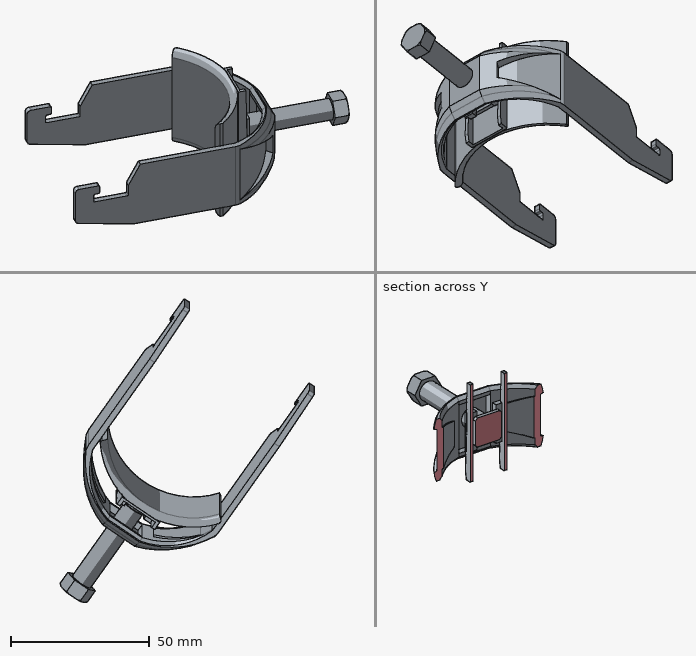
import cadquery as cq
import math


strap_span = 57.0
strap_width = 25.3
sheet = 2.2
leg_top_y = 61.0
arch_start = (28.2, 62.8)
crown_y = 83.1
crown_half = 7.0
crown_depth = 4.8
arch_out_mid = (22.2, 73.0)
arch_in_start = (26.2, 61.6)
arch_in_mid = (19.5, 71.1)
rim_round_z = 2.2
rim_round_y = 1.3
rim_round_mid = (21.8, 72.8)
rim_bevel_z = 2.2
rim_bevel_y = 1.8
rim_bevel_mid = (21.0, 72.2)
edge_bevel_z = 1.3
edge_bevel_y = 1.2
edge_bevel_mid = (20.3, 71.7)
rim_wall = 2.8

dent_top = (11.9, 78.1)
dent_mid = (22.0, 71.2)
dent_inner_top = (10.5, 76.3)
dent_inner_mid = (20.5, 69.5)
dent_top_half_z = 3.0
dent_leg_half_z = 11.0
dent_flare = 1.6
dent_leg_flare = 0.5
dent_wall = 1.7
dent_mouth = 5.6

hook_top_z = 6.6
hook_lip_z = 3.2
hook_end_z = -7.8
hook_nose_y = 9.3
slot_near_y = 7.0
slot_far_y = 20.2
slot_floor_z = 0.0
slope_foot_z = 4.4
slope_top_y = 24.8
taper_start_y = 22.2
hook_round = 1.5
nose_round = 0.7
slot_round = 0.3

overall_length = 112.0
bolt_z = 1.6
shank_diameter = 8.0
head_length = 5.5
head_corners = 12.1
head_chamfer = 0.6
neck_diameter = 6.3
shank_end_y = 73.5
foot_size = 12.0
foot_thickness = 1.3
foot_chamfer = 1.0

saddle_height = 40.1
saddle_z = 2.1
saddle_radius = 30.9
saddle_inner_y = 66.6
saddle_span = 52.4
saddle_half_angle = 52.5
saddle_sheet = 2.8

holder_y = 68.9
holder_floor = 0.9
holder_half = 8.3
holder_wall = 1.3
holder_height = 39.6
holder_top_y = 71.7
holder_bottom_y = 72.7
holder_corner_y = 0.6
holder_corner_z = 3.4
clip_y = 73.2
clip_half = 8.0
clip_length = 15.7
clip_slot_half = 4.3

foot_front_y = holder_y + holder_floor
foot_back_y = foot_front_y + foot_thickness
shank_radius = shank_diameter / 2


def mirror_x(point):
    return (-point[0], point[1])


def y_plane(y, z):
    """Workplane facing +Y at the given place."""
    return cq.Workplane(cq.Plane(origin=(0, y, z), xDir=(1, 0, 0), normal=(0, 1, 0)))


def y_cylinder(radius, y_start, y_end):
    return y_plane(y_start, bolt_z).circle(radius).extrude(y_end - y_start)


def arch_area(workplane, half_span, foot, mid, top_y):
    """Closed outline from the hook ends up the legs and over an arch with a flat crown."""
    return (
        workplane
        .moveTo(half_span, 0)
        .lineTo(half_span, leg_top_y)
        .lineTo(*foot)
        .threePointArc(mid, (crown_half, top_y))
        .lineTo(-crown_half, top_y)
        .threePointArc(mirror_x(mid), mirror_x(foot))
        .lineTo(-half_span, leg_top_y)
        .lineTo(-half_span, 0)
        .close()
    )


def bevelled_arch(half_span, foot, sections):
    """Solid under an arch whose crown and shoulders change towards its rims.

    Each section gives the distance from mid-width, the shoulder point and the crown height.
    """
    core_z, core_mid, core_top = sections[0]
    arch = arch_area(cq.Workplane("XY"), half_span, foot, core_mid, core_top).extrude(core_z, both=True)
    for (low_z, low_mid, low_top), (high_z, high_mid, high_top) in zip(sections, sections[1:]):
        step = arch_area(cq.Workplane("XY").workplane(offset=low_z), half_span, foot, low_mid, low_top)
        step = step.workplane(offset=high_z - low_z)
        step = arch_area(step, half_span, foot, high_mid, high_top).loft(ruled=True)
        arch = arch.union(step).union(step.mirror("XY"))
    return arch


def strap_band():
    """U-shaped band of full width with both bevels on its upper and lower rims."""
    out_x = strap_span / 2
    in_x = out_x - sheet
    rim_y = crown_y - crown_depth
    half = strap_width / 2
    facet_z = half - rim_bevel_z
    facet_y = crown_y - rim_round_y
    outer = bevelled_arch(out_x, arch_start, [
        (facet_z - rim_round_z, arch_out_mid, crown_y),
        (facet_z, rim_round_mid, facet_y),
        (half, rim_bevel_mid, facet_y - rim_bevel_y),
    ])
    inner = bevelled_arch(in_x, arch_in_start, [
        (half - edge_bevel_z, arch_in_mid, rim_y),
        (half, edge_bevel_mid, rim_y + edge_bevel_y),
    ])
    return outer.cut(inner)


def strap_side_profile():
    """Side silhouette of the strap in the YZ plane: hook, leg and square crown."""
    half = strap_width / 2
    profile = (
        cq.Workplane("YZ")
        .polyline([
            (0, hook_top_z),
            (hook_nose_y, hook_top_z),
            (hook_nose_y, hook_lip_z),
            (slot_near_y, hook_lip_z),
            (slot_near_y, slot_floor_z),
            (slot_far_y, slot_floor_z),
            (slot_far_y, slope_foot_z),
            (slope_top_y, half),
            (crown_y, half),
            (crown_y, -half),
            (taper_start_y, -half),
            (0, hook_end_z),
        ])
        .close()
        .extrude(strap_span / 2, both=True)
    )
    rounds = [
        (hook_round, 0, hook_top_z),
        (hook_round, 0, hook_end_z),
        (nose_round, hook_nose_y, hook_top_z),
        (nose_round, hook_nose_y, hook_lip_z),
        (nose_round, slot_near_y, hook_lip_z),
        (slot_round, slot_near_y, slot_floor_z),
        (slot_round, slot_far_y, slot_floor_z),
    ]
    for radius, y, z in rounds:
        profile = profile.edges(cq.selectors.NearestToPointSelector((0, y, z))).fillet(radius)
    return profile


def dent_solids():
    """Right-hand dent: the hollow outside and the pressed-in floor behind it."""
    leg = arch_start
    chord = (leg[0] - dent_top[0], leg[1] - dent_top[1])
    length = math.hypot(*chord)
    along = (chord[0] / length, chord[1] / length)
    outward = (-along[1], along[0])
    plane = cq.Plane(
        origin=(dent_top[0], dent_top[1], 0),
        xDir=(along[0], along[1], 0),
        normal=(outward[0], outward[1], 0),
    )

    def trapezoid(height, start, leg_widening):
        top = dent_top_half_z + start
        bottom = dent_leg_half_z + leg_widening
        corners = [(-start, top), (length, bottom), (length, -bottom), (-start, -top)]
        return cq.Workplane(plane).workplane(offset=height).polyline(corners).close()

    base = trapezoid(0, 0, 0).wires().val()
    mouth = trapezoid(dent_mouth, dent_flare, dent_leg_flare).wires().val()
    hollow = cq.Workplane(cq.Solid.makeLoft([base, mouth], True))

    floor_core = (
        cq.Workplane("XY")
        .moveTo(*dent_top)
        .threePointArc(dent_mid, leg)
        .close()
        .extrude(strap_width / 2, both=True)
    )
    inner_leg = (leg[0] - sheet, leg[1])
    floor = (
        cq.Workplane("XY")
        .moveTo(*dent_top)
        .threePointArc(dent_mid, leg)
        .lineTo(*inner_leg)
        .threePointArc(dent_inner_mid, dent_inner_top)
        .close()
        .extrude(strap_width / 2, both=True)
    )
    backing = trapezoid(-dent_mouth, dent_wall, dent_leg_flare).extrude(2 * dent_mouth)
    return hollow.cut(floor_core), floor.intersect(backing)


def make_strap():
    strap = strap_band().intersect(strap_side_profile())
    hollow_depth = crown_depth - sheet
    crown_hollow = cq.Workplane("XY").box(2 * crown_half, hollow_depth, strap_width - 2 * rim_wall)
    crown_hollow = crown_hollow.translate((0, crown_y - sheet - hollow_depth / 2, 0))
    strap = strap.cut(crown_hollow)
    dent, floor = dent_solids()
    strap = strap.union(floor).union(floor.mirror("YZ"))
    strap = strap.cut(dent).cut(dent.mirror("YZ"))
    return strap.cut(y_cylinder(shank_radius, shank_end_y, overall_length))


def make_bolt():
    head_y = overall_length - head_length
    head = y_plane(head_y, bolt_z).polygon(6, head_corners).extrude(head_length)
    crown = y_cylinder(head_corners / 2, head_y, overall_length).faces(">Y").chamfer(head_chamfer)
    shank = y_cylinder(shank_radius, shank_end_y, head_y)
    neck = (
        y_plane(foot_back_y, bolt_z)
        .circle(shank_radius)
        .workplane(offset=shank_end_y - foot_back_y)
        .circle(neck_diameter / 2)
        .loft()
    )
    foot = (
        y_plane(foot_front_y, bolt_z)
        .rect(foot_size, foot_size)
        .extrude(foot_thickness)
        .edges("|Y")
        .chamfer(foot_chamfer)
    )
    return head.intersect(crown).union(shank).union(neck).union(foot)


def make_saddle():
    axis_y = saddle_inner_y - saddle_radius
    half = saddle_height / 2
    back = saddle_radius + saddle_sheet
    straight = half - saddle_sheet
    round_reach = saddle_sheet * (1 - math.sqrt(0.5))
    round_mid = (saddle_radius + round_reach, half - round_reach)
    shell = (
        cq.Workplane("XZ")
        .moveTo(back, -half)
        .threePointArc((round_mid[0], -round_mid[1]), (saddle_radius, -straight))
        .lineTo(saddle_radius, straight)
        .threePointArc(round_mid, (back, half))
        .close()
        .revolve(2 * saddle_half_angle, (0, 0, 0), (0, 1, 0))
    )
    middle = shell.val().Center()
    turn = 90 - math.degrees(math.atan2(middle.y, middle.x))
    shell = shell.rotate((0, 0, 0), (0, 0, 1), turn).translate((0, axis_y, saddle_z))
    trim = cq.Workplane("XY").box(saddle_span, holder_y, saddle_height)
    return shell.intersect(trim.translate((0, holder_y / 2, saddle_z)))


def make_holder():
    half = holder_height / 2
    walls = (
        cq.Workplane("YZ")
        .polyline([
            (holder_y, -half),
            (holder_bottom_y - holder_corner_y, -half),
            (holder_bottom_y, holder_corner_z - half),
            (holder_top_y, half),
            (holder_y, half),
        ])
        .close()
        .extrude(holder_half, both=True)
        .translate((0, 0, saddle_z))
    )
    channel_depth = clip_y - foot_front_y
    channel = cq.Workplane("XY").box(2 * (holder_half - holder_wall), channel_depth, holder_height)
    channel = channel.translate((0, foot_front_y + channel_depth / 2, saddle_z))
    clip_depth = clip_y - foot_back_y
    clips = cq.Workplane("XY").box(2 * clip_half, clip_depth, clip_length)
    gap = cq.Workplane("XY").box(2 * clip_slot_half, clip_depth, clip_length)
    clips = clips.cut(gap).translate((0, foot_back_y + clip_depth / 2, bolt_z))
    return walls.cut(channel).union(clips)


strap = make_strap()
bolt = make_bolt()
saddle = make_saddle()
holder = make_holder()

bodies = [body.solids().val() for body in (strap, bolt, saddle, holder)]
result = cq.Compound.makeCompound(bodies)